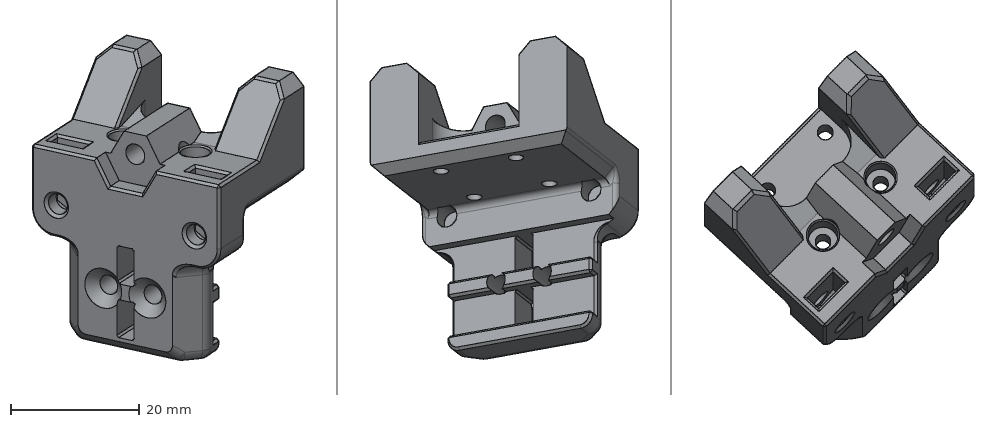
import cadquery as cq
import math


WIDTH = 34.0
DEPTH = 26.0
HEIGHT = 41.5
EDGE_CHAMFER = 0.4

HALF_WIDTH = WIDTH / 2
BLOCK_TOP = 31.9
WALL_DEPTH = 7.92
ARM_BOTTOM = 23.9
ARM_SIDE_CHAMFER = 1.7
ARM_BACK_CHAMFER = 1.55
ARM_INNER_RADIUS = 1.08
ARM_OUTER_RADIUS = 0.85
CORNER_RADIUS = 4.0
CORNER_CENTRE_Z = 21.2
BLOCK_BOTTOM = CORNER_CENTRE_Z - CORNER_RADIUS

PLATE_HALF_WIDTH = 12.5
PLATE_SIDE_BEVEL = 4.0
PLATE_BOTTOM_BEVEL = 2.0
PLATE_RADIUS = 2.0
NECK_RADIUS = 2.5

RECESS_FLOOR_Y = 6.15
RECESS_HEIGHT = 6.4
RIB_HEIGHT = 2.65
RECESS_BOTTOMS = (RIB_HEIGHT, 2 * RIB_HEIGHT + RECESS_HEIGHT)
SLOT_WIDTH = 3.05
SLOT_CORNER = 0.35

HORN_WIDTH = 8.3
HORN_BEVEL = 2.0
HORN_TOP_LENGTH = 4.65
HORN_SLOPE_START_Y = 12.2

POCKET_FRONT_Y = 16.45
POCKET_FLOOR = 27.95
POCKET_RADIUS = 4.5
POCKET_LIP_CHAMFER = 0.5
RAMP_START_Y = 13.55
RAMP_SLOPE = 0.24

BORE_Z = 32.65
BORE_DIAMETER = 3.4
RIDGE_APOTHEM = 3.5
HEX_APOTHEM = 5.0
HEX_DEPTH = 3.05

SCREW_X = 6.47
SCREW_FRONT_Y = 10.5
SCREW_BACK_Y = 22.45
SCREW_DIAMETER = 2.4
SCREW_HEAD_DIAMETER = 4.7
SCREW_HEAD_CHAMFER = 0.25

NUT_X = 12.45
NUT_HOLE_Z = 22.6
NUT_HOLE_DIAMETER = 3.4
NUT_HOLE_CHAMFER = 0.5
NUT_WIDTH = 5.8
NUT_FRONT_Y = 2.85
NUT_THICKNESS = 2.5

SINK_X = 4.0
SINK_HOLE_DIAMETER = 3.2
SINK_DIAMETER = 6.65

SIDES = (-1, 1)
DIAGONAL = math.sqrt(0.5)


def box(x0, x1, y0, y1, z0, z1):
    return cq.Workplane("XY").box(x1 - x0, y1 - y0, z1 - z0, centered=False).translate((x0, y0, z0))


def prism_along_y(points, y0, y1, taper=0):
    """Closed (x, z) outline extruded from y0 to y1."""
    plane = cq.Plane(origin=(0, y0, 0), xDir=(-1, 0, 0), normal=(0, 1, 0))
    return cq.Workplane(plane).polyline([(-x, z) for x, z in points]).close().extrude(y1 - y0, taper=taper)


def prism_along_x(points, half_width):
    """Closed (y, z) outline extruded symmetrically about x = 0."""
    return cq.Workplane("YZ").polyline(points).close().extrude(half_width, both=True)


def rod(x, z, diameter, y0, y1):
    """Cylinder along Y from y0 to y1."""
    start, axis = cq.Vector(x, y0, z), cq.Vector(0, 1, 0)
    return cq.Workplane(cq.Solid.makeCylinder(diameter / 2, y1 - y0, start, axis))


def cone_at_front(x, z, outer_diameter, inner_diameter):
    """45 degree countersink that opens at the front face."""
    depth = (outer_diameter - inner_diameter) / 2
    start, axis = cq.Vector(x, 0, z), cq.Vector(0, 1, 0)
    return cq.Workplane(cq.Solid.makeCone(outer_diameter / 2, inner_diameter / 2, depth, start, axis))


def hexagon(apothem, z):
    """Corners of a hexagon with flats at its top and bottom."""
    radius = apothem / math.cos(math.pi / 6)
    return [(radius * math.cos(i * math.pi / 3), z + radius * math.sin(i * math.pi / 3)) for i in range(6)]


def edges_near(shape, points):
    """For each point, the edge of the shape that lies closest to it."""
    picked = []
    for point in points:
        vertex = cq.Vertex.makeVertex(*point)
        picked.append(min(shape.edges().vals(), key=lambda edge: edge.distance(vertex)))
    return shape.newObject(picked)


def upper_block():
    """Front wall and arm, with the arm bevelled underneath and blended into the wall."""
    outline = [
        (0, BLOCK_BOTTOM),
        (WALL_DEPTH, BLOCK_BOTTOM),
        (WALL_DEPTH, ARM_BOTTOM),
        (DEPTH - ARM_BACK_CHAMFER, ARM_BOTTOM),
        (DEPTH, ARM_BOTTOM + ARM_BACK_CHAMFER),
        (DEPTH, BLOCK_TOP),
        (0, BLOCK_TOP),
    ]
    block = prism_along_x(outline, HALF_WIDTH)
    front = [(0, 0, BLOCK_TOP)]
    for side in SIDES:
        front.append((side * HALF_WIDTH, 0, (BLOCK_TOP + BLOCK_BOTTOM) / 2))
        front.append((side * HALF_WIDTH, DEPTH / 2, BLOCK_TOP))
    block = edges_near(block, front).chamfer(EDGE_CHAMFER)
    bevel_top = ARM_BOTTOM + ARM_SIDE_CHAMFER
    for side in SIDES:
        bevel = [
            (side * HALF_WIDTH, ARM_BOTTOM),
            (side * HALF_WIDTH, bevel_top),
            (side * (HALF_WIDTH - ARM_SIDE_CHAMFER), ARM_BOTTOM),
        ]
        block = block.cut(prism_along_y(bevel, WALL_DEPTH, DEPTH))
    mid_bevel_x = HALF_WIDTH - ARM_SIDE_CHAMFER / 2
    mid_bevel_z = ARM_BOTTOM + ARM_SIDE_CHAMFER / 2
    inner = [(0, WALL_DEPTH, ARM_BOTTOM)] + [(s * mid_bevel_x, WALL_DEPTH, mid_bevel_z) for s in SIDES]
    block = edges_near(block, inner).fillet(ARM_INNER_RADIUS)
    arc_inset = ARM_INNER_RADIUS * (1 - DIAGONAL)
    outer = []
    for side in SIDES:
        outer.append((side * HALF_WIDTH, WALL_DEPTH, (BLOCK_BOTTOM + ARM_BOTTOM) / 2))
        outer.append((side * HALF_WIDTH, WALL_DEPTH + arc_inset, bevel_top - arc_inset))
        outer.append((side * HALF_WIDTH, (WALL_DEPTH + DEPTH) / 2, bevel_top))
    return edges_near(block, outer).fillet(ARM_OUTER_RADIUS)


def lower_plate():
    """Plate with wide bevels at the sides and bottom of its front; every bevel edge is rounded."""
    inner_x = PLATE_HALF_WIDTH - PLATE_SIDE_BEVEL
    plate = (
        cq.Workplane("XY")
        .polyline([
            (-PLATE_HALF_WIDTH, WALL_DEPTH),
            (-PLATE_HALF_WIDTH, PLATE_SIDE_BEVEL),
            (-inner_x, 0),
            (inner_x, 0),
            (PLATE_HALF_WIDTH, PLATE_SIDE_BEVEL),
            (PLATE_HALF_WIDTH, WALL_DEPTH),
        ])
        .close()
        .extrude(ARM_BOTTOM)
    )
    bevel = [(0, 0), (0, PLATE_BOTTOM_BEVEL), (PLATE_BOTTOM_BEVEL, 0)]
    plate = plate.cut(prism_along_x(bevel, PLATE_HALF_WIDTH))
    half_bevel = PLATE_BOTTOM_BEVEL / 2
    corner_y = (PLATE_SIDE_BEVEL + PLATE_BOTTOM_BEVEL) / 2
    mid_back_y = (PLATE_SIDE_BEVEL + WALL_DEPTH) / 2
    rounded = [(0, PLATE_BOTTOM_BEVEL, 0)]
    for side in SIDES:
        rounded.append((side * PLATE_HALF_WIDTH, PLATE_SIDE_BEVEL, ARM_BOTTOM / 2))
        rounded.append((side * PLATE_HALF_WIDTH, mid_back_y, 0))
        rounded.append((side * (inner_x + half_bevel), half_bevel, half_bevel))
        rounded.append((side * (inner_x + corner_y), corner_y, 0))
    return edges_near(plate, rounded).fillet(PLATE_RADIUS)


def neck_fillet(body):
    """Blend the plate's sides and bevels into the underside of the block."""
    inner_x = PLATE_HALF_WIDTH - PLATE_SIDE_BEVEL
    setback = PLATE_RADIUS * math.tan(math.pi / 8)
    joints = []
    for side in SIDES:
        joints.append((side * PLATE_HALF_WIDTH, RECESS_FLOOR_Y, BLOCK_BOTTOM))
        joints.append((side * (inner_x + PLATE_SIDE_BEVEL / 2), PLATE_SIDE_BEVEL / 2, BLOCK_BOTTOM))
        arc_x = PLATE_HALF_WIDTH - PLATE_RADIUS * (1 - math.cos(math.pi / 8))
        arc_y = PLATE_SIDE_BEVEL + setback - PLATE_RADIUS * math.sin(math.pi / 8)
        joints.append((side * arc_x, arc_y, BLOCK_BOTTOM))
    return edges_near(body, joints).fillet(NECK_RADIUS)


def cut_corner(body, side):
    """Round the block's lower corner and run it smoothly into the neck at the plate's side."""
    corner_x = HALF_WIDTH - CORNER_RADIUS
    neck_x = PLATE_HALF_WIDTH + NECK_RADIUS
    reach = CORNER_RADIUS + NECK_RADIUS
    neck_z = CORNER_CENTRE_Z - math.sqrt(reach**2 - (neck_x - corner_x) ** 2)
    blend = CORNER_RADIUS / reach
    joint_x = corner_x + blend * (neck_x - corner_x)
    joint_z = CORNER_CENTRE_Z + blend * (neck_z - CORNER_CENTRE_Z)
    neck_angle = (math.atan2(joint_z - neck_z, joint_x - neck_x) + math.pi) / 2
    neck_mid = (neck_x + NECK_RADIUS * math.cos(neck_angle), neck_z + NECK_RADIUS * math.sin(neck_angle))
    outside = HALF_WIDTH + 0.4
    waste = (
        cq.Workplane("XZ")
        .moveTo(outside, CORNER_CENTRE_Z)
        .lineTo(HALF_WIDTH, CORNER_CENTRE_Z)
        .threePointArc(
            (corner_x + CORNER_RADIUS * DIAGONAL, CORNER_CENTRE_Z - CORNER_RADIUS * DIAGONAL),
            (joint_x, joint_z),
        )
        .threePointArc(neck_mid, (PLATE_HALF_WIDTH, neck_z))
        .lineTo(outside, neck_z)
        .close()
        .extrude(-WALL_DEPTH)
    )
    front_radius = CORNER_RADIUS - EDGE_CHAMFER
    start, axis = cq.Vector(corner_x, 0, CORNER_CENTRE_Z), cq.Vector(0, 1, 0)
    kept = cq.Workplane(cq.Solid.makeCone(front_radius, CORNER_RADIUS, EDGE_CHAMFER, start, axis))
    rim = box(corner_x, outside, 0, EDGE_CHAMFER, BLOCK_BOTTOM, CORNER_CENTRE_Z).cut(kept)
    for cutter in (waste, rim):
        body = body.cut(cutter if side > 0 else cutter.mirror("YZ"))
    return body


def cut_neck_lip(body, side):
    """Chamfer the front edge of the neck above the bevel; it fades out down the curve."""
    inner_x = PLATE_HALF_WIDTH - PLATE_SIDE_BEVEL
    outer_x = HALF_WIDTH - CORNER_RADIUS
    reach = NECK_RADIUS * math.sqrt(2)
    top = BLOCK_BOTTOM + EDGE_CHAMFER
    bottom = top - NECK_RADIUS
    centre = cq.Vector(side * (inner_x + reach), 0, bottom)
    start_angle = 90 if side > 0 else 0
    facing, across = cq.Vector(0, -1, 0), cq.Vector(1, 0, 0)
    quarter = cq.Edge.makeEllipse(reach, NECK_RADIUS, centre, facing, across, start_angle, start_angle + 90)
    corners = [(inner_x + reach, top), (outer_x, top), (outer_x, bottom), (inner_x, bottom)]
    corners = [cq.Vector(side * x, 0, z) for x, z in corners]
    lines = [cq.Edge.makeLine(a, b) for a, b in zip(corners, corners[1:])]
    wire = cq.Wire.assembleEdges(cq.Wire.combine([quarter] + lines)[0].Edges())
    depth = cq.Vector(side, 1, -1) * EDGE_CHAMFER
    return body.cut(cq.Workplane(cq.Solid.extrudeLinear(wire, [], depth)))


def cut_recesses(body):
    """Recesses across the back of the plate, leaving two chamfered ribs."""
    for bottom in RECESS_BOTTOMS:
        top = bottom + RECESS_HEIGHT
        body = body.cut(box(-HALF_WIDTH, HALF_WIDTH, RECESS_FLOOR_Y, WALL_DEPTH, bottom, top))
    rib_tops = RECESS_BOTTOMS
    rib_bottoms = [0] + [z + RECESS_HEIGHT for z in RECESS_BOTTOMS[:-1]]
    points = [(0, WALL_DEPTH, z) for z in rib_tops]
    points += [(0, WALL_DEPTH, z) for z in rib_bottoms]
    corner_inset = PLATE_RADIUS * (1 - DIAGONAL)
    mid_rib_y = (RECESS_FLOOR_Y + WALL_DEPTH) / 2
    for side in SIDES:
        x = side * PLATE_HALF_WIDTH
        for z in rib_tops:
            points.append((x, WALL_DEPTH, z - EDGE_CHAMFER))
            points.append((x, mid_rib_y, z))
            points.append((x, RECESS_FLOOR_Y, z + RECESS_HEIGHT / 4))
        points += [(x, mid_rib_y, z) for z in rib_bottoms[1:]]
        points.append((x - side * corner_inset, WALL_DEPTH, corner_inset))
    return edges_near(body, points).chamfer(EDGE_CHAMFER)


def horn(side):
    """Bevelled horn with a sloping front; its foot sits inside the block."""
    inner_x = HALF_WIDTH - HORN_WIDTH
    outline = [
        (inner_x, POCKET_FLOOR),
        (inner_x, HEIGHT - HORN_BEVEL),
        (inner_x + HORN_BEVEL, HEIGHT),
        (HALF_WIDTH - HORN_BEVEL, HEIGHT),
        (HALF_WIDTH, HEIGHT - HORN_BEVEL),
        (HALF_WIDTH, POCKET_FLOOR),
    ]
    body = prism_along_y([(side * x, z) for x, z in outline], 0, DEPTH)
    slope_top_y = DEPTH - HORN_TOP_LENGTH
    run = (slope_top_y - HORN_SLOPE_START_Y) / (HEIGHT - BLOCK_TOP)
    slope_foot_y = slope_top_y - run * HEIGHT
    in_front = [(slope_top_y, HEIGHT), (slope_foot_y, 0), (-DEPTH, 0), (-DEPTH, HEIGHT)]
    body = body.cut(prism_along_x(in_front, HALF_WIDTH))
    slope = cq.selectors.DirectionMinMaxSelector(cq.Vector(0, -1, run))
    return body.faces(slope).chamfer(EDGE_CHAMFER)


def ramp():
    """Shallow rise of the block's top between the horns."""
    rise = RAMP_SLOPE * (DEPTH - RAMP_START_Y)
    profile = [
        (RAMP_START_Y, BLOCK_TOP),
        (DEPTH, BLOCK_TOP + rise),
        (DEPTH, POCKET_FLOOR),
        (RAMP_START_Y, POCKET_FLOOR),
    ]
    return prism_along_x(profile, HALF_WIDTH - HORN_WIDTH)


def pocket():
    """Open space between the horns, with a chamfer along the back edge of its floor."""
    half_width = HALF_WIDTH - HORN_WIDTH
    space = box(-half_width, half_width, POCKET_FRONT_Y, DEPTH + POCKET_RADIUS, POCKET_FLOOR, HEIGHT)
    space = space.edges("|Z and <Y").fillet(POCKET_RADIUS)
    lip = [
        (DEPTH - POCKET_LIP_CHAMFER, POCKET_FLOOR),
        (DEPTH, POCKET_FLOOR),
        (DEPTH, POCKET_FLOOR - POCKET_LIP_CHAMFER),
    ]
    return space.union(prism_along_x(lip, half_width))


def ridge():
    """Upper half of a hexagonal bar whose sides run on down into the block."""
    top = BORE_Z + RIDGE_APOTHEM
    foot = BLOCK_TOP - EDGE_CHAMFER
    top_half = RIDGE_APOTHEM * math.tan(math.pi / 6)
    foot_half = top_half + (top - foot) * math.tan(math.pi / 6)
    outline = [(-foot_half, foot), (-top_half, top), (top_half, top), (foot_half, foot)]
    return prism_along_y(outline, HEX_DEPTH, POCKET_FRONT_Y)


def hex_recess():
    """Hexagonal recess open at the front, with a chamfered rim."""
    recess = prism_along_y(hexagon(HEX_APOTHEM, BORE_Z), 0, HEX_DEPTH)
    rim = prism_along_y(hexagon(HEX_APOTHEM + EDGE_CHAMFER, BORE_Z), 0, EDGE_CHAMFER, taper=45)
    return recess.union(rim)


def screw_holes():
    """Two counterbored holes beside the ridge and two plain ones in the pocket floor."""
    across = [(-SCREW_X, 0), (SCREW_X, 0)]
    holes = cq.Workplane("XY")
    for y in (SCREW_FRONT_Y, SCREW_BACK_Y):
        spots = cq.Workplane("XY", origin=(0, y, 0)).pushPoints(across)
        holes = holes.add(spots.circle(SCREW_DIAMETER / 2).extrude(HEIGHT))
    heads = cq.Workplane("XY", origin=(0, SCREW_FRONT_Y, POCKET_FLOOR)).pushPoints(across)
    holes = holes.add(heads.circle(SCREW_HEAD_DIAMETER / 2).extrude(BLOCK_TOP - POCKET_FLOOR))
    mouth_radius = SCREW_HEAD_DIAMETER / 2 + SCREW_HEAD_CHAMFER
    surface = cq.Workplane("XY", origin=(0, SCREW_FRONT_Y, BLOCK_TOP)).pushPoints(across)
    holes = holes.add(surface.circle(mouth_radius).extrude(-SCREW_HEAD_CHAMFER, taper=45))
    return holes.add(surface.circle(mouth_radius).extrude(HEIGHT - BLOCK_TOP)).combine()


def nut_trap(x):
    """Slot for a hexagonal nut, pointed at its bottom, with the screw hole that crosses it."""
    half = NUT_WIDTH / 2
    corner_drop = half * math.tan(math.pi / 6)
    tip_drop = half / math.cos(math.pi / 6)
    outline = [
        (x - half, BLOCK_TOP),
        (x - half, NUT_HOLE_Z - corner_drop),
        (x, NUT_HOLE_Z - tip_drop),
        (x + half, NUT_HOLE_Z - corner_drop),
        (x + half, BLOCK_TOP),
    ]
    slot = prism_along_y(outline, NUT_FRONT_Y, NUT_FRONT_Y + NUT_THICKNESS)
    mouth = (
        cq.Workplane("XY", origin=(x, NUT_FRONT_Y + NUT_THICKNESS / 2, BLOCK_TOP))
        .rect(NUT_WIDTH + 2 * EDGE_CHAMFER, NUT_THICKNESS + 2 * EDGE_CHAMFER)
        .extrude(-EDGE_CHAMFER, taper=45)
    )
    hole = rod(x, NUT_HOLE_Z, NUT_HOLE_DIAMETER, 0, WALL_DEPTH + ARM_INNER_RADIUS)
    rim = cone_at_front(x, NUT_HOLE_Z, NUT_HOLE_DIAMETER + 2 * NUT_HOLE_CHAMFER, NUT_HOLE_DIAMETER)
    return slot.union(mouth).union(hole).union(rim)


def countersunk_hole(x):
    z = RECESS_BOTTOMS[1] - RIB_HEIGHT / 2
    hole = rod(x, z, SINK_HOLE_DIAMETER, 0, WALL_DEPTH)
    return hole.union(cone_at_front(x, z, SINK_DIAMETER, SINK_HOLE_DIAMETER))


def plate_slot(bottom):
    half = SLOT_WIDTH / 2
    return box(-half, half, 0, WALL_DEPTH, bottom, bottom + RECESS_HEIGHT).edges("|Y").chamfer(SLOT_CORNER)


body = neck_fillet(upper_block().union(lower_plate()))
for side in SIDES:
    body = cut_corner(body, side)
    body = cut_neck_lip(body, side)
body = cut_recesses(body)
for side in SIDES:
    body = body.union(horn(side))
body = body.union(ramp()).cut(hex_recess()).union(ridge()).cut(pocket())
body = body.cut(rod(0, BORE_Z, BORE_DIAMETER, 0, DEPTH)).cut(screw_holes())
for side in SIDES:
    body = body.cut(nut_trap(side * NUT_X)).cut(countersunk_hole(side * SINK_X))
for bottom in RECESS_BOTTOMS:
    body = body.cut(plate_slot(bottom))

result = body